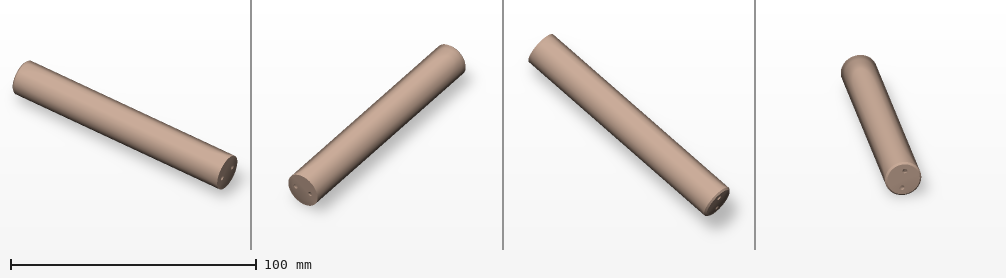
import cadquery as cq
import math

LENGTH = 100.0
DIAMETER = 15.0
CHAMFER = 0.75

CHANNEL_DIAMETER = 2.0
CHANNEL_CIRCLE_DIAMETER = DIAMETER / 2
CHANNEL_COUNT = 2
HELIX_ANGLE = 30.0

FULL_TURN = 360.0

HELIX_LEAD = math.pi * DIAMETER / math.tan(math.radians(HELIX_ANGLE))
TWIST = FULL_TURN * LENGTH / HELIX_LEAD


def make_blank():
    """Plain cylinder from x = 0 to x = LENGTH, chamfered at the x = 0 end."""
    cylinder = cq.Workplane("YZ").circle(DIAMETER / 2).extrude(LENGTH)
    return cylinder.faces("<X").edges().chamfer(CHAMFER)


def make_channel(end_angle):
    """Right-hand helical channel that leaves the x = LENGTH face at end_angle from +Y."""
    start_angle = math.radians(end_angle - TWIST)
    radius = CHANNEL_CIRCLE_DIAMETER / 2
    y = radius * math.cos(start_angle)
    z = radius * math.sin(start_angle)
    section = cq.Workplane("YZ").moveTo(y, z).circle(CHANNEL_DIAMETER / 2)
    return section.twistExtrude(LENGTH, TWIST)


result = make_blank()
for index in range(CHANNEL_COUNT):
    result = result.cut(make_channel(index * FULL_TURN / CHANNEL_COUNT))